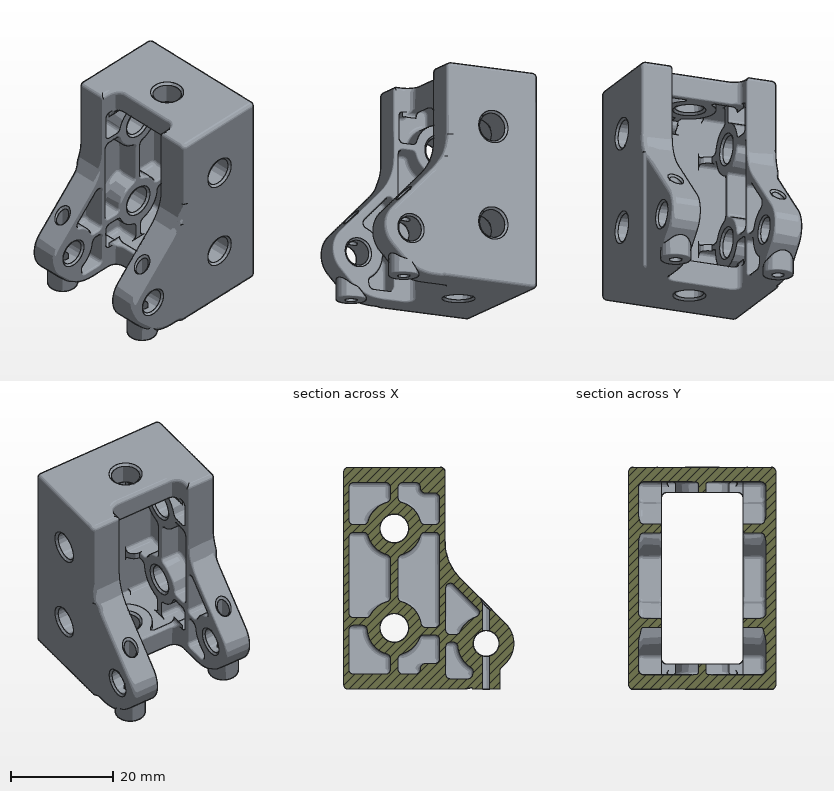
import cadquery as cq
import math

width = 29.0
height = 43.6
depth = 19.95
edge_round = 1.0
inner_round = edge_round / 2
mouth_round = 0.45
half_width = width / 2
back_y = depth / 2
front_y = -depth / 2

arm_outer_x = 14.0
arm_inner_x = 8.0
arm_mid_x = (arm_outer_x + arm_inner_x) / 2
pin_y = -18.0
pin_z = 9.03
arm_tip_radius = 5.5
bend_radius = 10.0
pin_hole_diameter = 5.0
pin_hole_rim = 5.85

post_diameter = 5.97
screw_diameter = 2.4
screw_rim = 3.15

slot_back_y = -6.2
slot_corner = 2.0
window_bottom_z = 5.0
window_corner = 1.0
side_wall = 2.0
end_wall = 2.9
back_wall = 1.0
lip = 1.0
cavity_back_y = back_y - back_wall
cavity_x = half_width - side_wall
window_top_z = height - window_bottom_z

mount_diameter = 5.6
mount_rim = 6.5
mount_heights = (12.08, 31.55)
boss_radius = 5.25
back_rib_heights = (13.35, 31.55)
front_rib_heights = (11.42, 31.55)
rib_width = 1.3

arm_rib_z = 10.03
arm_rim = 1.75
arm_floor = 2.0
arm_pocket_end_y = -15.25

overlap = 0.45
tolerance = 0.02
diagonal = math.sqrt(0.5)
bend_tangent = bend_radius * math.tan(math.pi / 8)


def box(x0, x1, y0, y1, z0, z1):
    return cq.Workplane("XY").box(x1 - x0, y1 - y0, z1 - z0, centered=False).translate((x0, y0, z0))


def mirrored(part):
    """Both the +X part and its copy on the -X side."""
    return part.union(part.mirror("YZ"))


def cylinder_x(y, z, radius, x0, x1):
    return cq.Workplane("YZ", origin=(x0, 0, 0)).center(y, z).circle(radius).extrude(x1 - x0)


def cylinder_z(x, y, radius, z0, z1):
    return cq.Workplane("XY", origin=(0, 0, z0)).center(x, y).circle(radius).extrude(z1 - z0)


tip_offset = arm_tip_radius * diagonal
upper_corner_z = pin_z + tip_offset + (front_y - pin_y + tip_offset)
lower_corner_y = pin_y - tip_offset + (pin_z - tip_offset)
bend_offset = bend_tangent * diagonal
mid_angle = math.pi / 8
upper_bend_start = (front_y, upper_corner_z + bend_tangent)
upper_bend_mid = (
    front_y - bend_radius * (1 - math.cos(mid_angle)),
    upper_bend_start[1] - bend_radius * math.sin(mid_angle),
)
upper_bend_end = (front_y - bend_offset, upper_corner_z - bend_offset)
lower_bend_end = (lower_corner_y + bend_tangent, 0)
lower_bend_mid = (
    lower_bend_end[0] - bend_radius * math.sin(mid_angle),
    bend_radius * (1 - math.cos(mid_angle)),
)
lower_bend_start = (lower_corner_y - bend_offset, bend_offset)


def side_solid():
    return (
        cq.Workplane("YZ", origin=(-half_width, 0, 0))
        .moveTo(back_y, 0)
        .lineTo(back_y, height)
        .lineTo(front_y, height)
        .lineTo(*upper_bend_start)
        .threePointArc(upper_bend_mid, upper_bend_end)
        .lineTo(pin_y - tip_offset, pin_z + tip_offset)
        .threePointArc((pin_y - arm_tip_radius, pin_z), (pin_y - tip_offset, pin_z - tip_offset))
        .lineTo(*lower_bend_start)
        .threePointArc(lower_bend_mid, lower_bend_end)
        .close()
        .extrude(width)
    )


def plan_solid():
    """Plan outline: an S bend of two arcs narrows the block sides to the arms."""
    drop = (half_width - arm_outer_x) / 2
    reach = math.sqrt(edge_round**2 - (edge_round - drop) ** 2)
    half_sweep = math.acos(1 - drop / edge_round) / 2
    mid_y = edge_round * math.sin(half_sweep)
    mid_x = edge_round * (1 - math.cos(half_sweep))
    bend_y = front_y - reach
    right = (
        cq.Workplane("XY")
        .moveTo(0, back_y)
        .lineTo(half_width, back_y)
        .lineTo(half_width, bend_y + reach)
        .threePointArc((half_width - mid_x, bend_y + reach - mid_y), (half_width - drop, bend_y))
        .threePointArc((arm_outer_x + mid_x, bend_y - reach + mid_y), (arm_outer_x, bend_y - reach))
        .lineTo(arm_outer_x, pin_y - 2 * arm_tip_radius)
        .lineTo(0, pin_y - 2 * arm_tip_radius)
        .close()
        .extrude(height)
    )
    return mirrored(right)


def is_inner_arm_edge(edge):
    """Edges where the slot sides meet the arm outline, below the rounded top."""
    box = edge.BoundingBox()
    in_slot_side = box.xlen < tolerance and abs(abs(box.xmin) - arm_inner_x) < tolerance
    on_outline = box.ymax < front_y + tolerance or box.zmax < tolerance
    return in_slot_side and on_outline


def is_outer_edge(edge):
    """Outer block and arm edges, without the seams between tangent faces."""
    box = edge.BoundingBox()
    if max(-box.xmin, box.xmax) < arm_inner_x + inner_round + tolerance:
        return box.xlen > tolerance and box.zmin > height - tolerance and box.ymax < front_y + tolerance
    if box.xlen > half_width - arm_inner_x - 2 * edge_round:
        return box.zmin > height - tolerance or box.ymin > back_y - tolerance
    bend_seam = max(box.xlen, box.ylen) < tolerance and box.ymax < 0 and box.zmin < tolerance
    return not bend_seam


def rounded_body():
    body = side_solid().intersect(plan_solid()).cut(arm_slot())
    body = body.edges().filter(is_outer_edge).fillet(edge_round)
    body = body.edges().filter(is_inner_arm_edge).fillet(inner_round)
    return body.cut(slot_mouth())


def slot_mouth():
    """The slot where it opens in the top, flared by a convex round along its rim."""
    size = (-half_width, half_width, front_y - edge_round, back_y, height / 2, height)
    plate = box(*size).cut(arm_slot())
    rim = cq.selectors.BoxSelector(
        (-arm_inner_x - tolerance, front_y - depth, height - tolerance),
        (arm_inner_x + tolerance, slot_back_y + tolerance, height + tolerance),
        boundingbox=True,
    )
    plate = plate.edges(rim).fillet(edge_round)
    return box(*size).cut(plate)


def post():
    shape = cylinder_z(arm_mid_x, pin_y, post_diameter / 2, 0, pin_z)
    return shape.faces("<Z").edges().fillet(inner_round / 2)


def arm_slot():
    slot = box(-arm_inner_x, arm_inner_x, front_y - depth, slot_back_y, -overlap, height + overlap)
    return slot.edges("|Z and >Y").fillet(slot_corner)


def window():
    """Open middle of the cavity, between the slot and the back wall."""
    core = box(-arm_inner_x, arm_inner_x, front_y, cavity_back_y, window_bottom_z, window_top_z)
    return core.edges("|Y").fillet(window_corner)


def side_pockets():
    """Hollow of the +X wall around its two bosses and its crossing ribs."""
    x0, x1 = arm_inner_x, cavity_x
    half_rib = rib_width / 2
    hollow = box(x0, x1, front_y + lip, cavity_back_y, window_bottom_z, window_top_z)
    hollow = hollow.union(box(x0, x1, slot_back_y + lip, cavity_back_y, end_wall, height - end_wall))
    hollow = hollow.cut(box(x0, x1, -half_rib, half_rib, 0, height))
    for z in mount_heights:
        hollow = hollow.cut(cylinder_x(0, z, boss_radius, x0, x1))
    for z in back_rib_heights:
        hollow = hollow.cut(box(x0, x1, 0, back_y, z - half_rib, z + half_rib))
    for z in front_rib_heights:
        hollow = hollow.cut(box(x0, x1, front_y, 0, z - half_rib, z + half_rib))
    return hollow.edges("|X").fillet(edge_round).faces(">X").edges().fillet(edge_round)


def top_pockets():
    """Hollow of the top wall around its boss and rib, linked to the side walls at the corners."""
    z0, z1 = window_top_z, height - end_wall
    x_end = arm_inner_x - lip
    half_rib = rib_width / 2
    hollow = box(-x_end, x_end, slot_back_y + lip, cavity_back_y, z0, z1)
    hollow = hollow.cut(box(-half_rib, half_rib, front_y, back_y, z0, z1))
    hollow = hollow.cut(cylinder_z(0, 0, boss_radius, z0, z1))
    hollow = hollow.edges("|Z").fillet(inner_round).faces(">Z").edges().fillet(inner_round)
    link = box(
        x_end - inner_round, arm_inner_x, slot_back_y + lip, cavity_back_y, z0 - window_corner, z1
    )
    link = link.edges("|X and >Z").fillet(edge_round)
    return hollow.union(mirrored(link))


def arm_pockets():
    """Hollow of the +X arm around its pin boss and its rib."""
    x0, x1 = arm_inner_x, cavity_x
    half_rib = rib_width / 2
    slope_z = upper_corner_z - arm_rim / diagonal
    outline = (
        cq.Workplane("YZ", origin=(x0, 0, 0))
        .moveTo(front_y, arm_floor)
        .lineTo(front_y, slope_z)
        .lineTo(pin_y, slope_z + pin_y - front_y)
        .lineTo(arm_pocket_end_y, arm_floor)
        .close()
        .extrude(x1 - x0)
    )
    hollow = outline.cut(cylinder_x(pin_y, pin_z, arm_tip_radius, x0, x1))
    hollow = hollow.cut(box(x0, x1, pin_y, front_y, arm_rib_z - half_rib, arm_rib_z + half_rib))
    return hollow.edges("|X").fillet(edge_round).faces(">X").edges().fillet(edge_round)


def rib_flare(reach):
    """Foot of a rib on the back wall: concave on three sides, along +X from the rib's end at x = 0."""
    half_foot = rib_width / 2 + edge_round
    along = (
        cq.Workplane("XY", origin=(0, 0, -half_foot))
        .moveTo(0, cavity_back_y - reach)
        .radiusArc((reach, cavity_back_y), -reach)
        .lineTo(reach, back_y - back_wall / 2)
        .lineTo(0, back_y - back_wall / 2)
        .close()
        .extrude(2 * half_foot)
    )
    across = (
        cq.Workplane("YZ")
        .moveTo(cavity_back_y, -half_foot)
        .radiusArc((cavity_back_y - edge_round, -rib_width / 2), -edge_round)
        .lineTo(cavity_back_y - reach, -rib_width / 2)
        .lineTo(cavity_back_y - reach, rib_width / 2)
        .lineTo(cavity_back_y - edge_round, rib_width / 2)
        .radiusArc((cavity_back_y, half_foot), -edge_round)
        .lineTo(back_y - back_wall / 2, half_foot)
        .lineTo(back_y - back_wall / 2, -half_foot)
        .close()
        .extrude(reach)
    )
    return along.intersect(across)


def rimmed_bore(diameter, rim_diameter, length):
    """Bore along +Z from z = 0 with a 45 degree chamfer at both ends."""
    chamfer = (rim_diameter - diameter) / 2
    profile = (
        cq.Workplane("XZ")
        .lineTo(rim_diameter / 2, 0)
        .lineTo(diameter / 2, chamfer)
        .lineTo(diameter / 2, length - chamfer)
        .lineTo(rim_diameter / 2, length)
        .lineTo(0, length)
        .close()
    )
    return profile.revolve(360, (0, 0, 0), (0, 1, 0))


def bore_x(y, z, diameter, rim_diameter, outer_x):
    bore = rimmed_bore(diameter, rim_diameter, outer_x - arm_inner_x)
    return bore.rotate((0, 0, 0), (0, 1, 0), 90).translate((arm_inner_x, y, z))


def is_window_lip(edge):
    """Straight edges where the window meets the back of the slot."""
    box = edge.BoundingBox()
    on_slot_back = abs(box.ymax - slot_back_y) < tolerance and box.ylen < tolerance
    below_top = box.zmin > edge_round and box.zmax < height - edge_round
    return on_slot_back and below_top and box.xlen > box.zlen + tolerance


def pocket_mouth_in(y0, y1, z0, z1):
    """Test for edges in the slot sides that lie wholly inside the given y and z limits."""

    def is_mouth_edge(edge):
        box = edge.BoundingBox()
        in_slot_side = box.xlen < tolerance and abs(abs(box.xmin) - arm_inner_x) < tolerance
        return in_slot_side and box.ymin > y0 and box.ymax < y1 and box.zmin > z0 and box.zmax < z1

    return is_mouth_edge


def is_screw_mouth(edge):
    """Rim of a screw hole on the sloping arm edge."""
    box = edge.BoundingBox()
    centred = abs(abs(box.center.x) - arm_mid_x) < tolerance
    right_size = abs(box.xlen - screw_diameter) < 2 * tolerance and box.zlen > screw_diameter / 2
    return centred and right_size and box.zmin > pin_z + pin_hole_rim / 2


body = rounded_body().union(mirrored(post()))

body = body.cut(window()).cut(mirrored(side_pockets().union(arm_pockets())))
upper_pockets = top_pockets()
lower_pockets = upper_pockets.mirror("XY").translate((0, 0, height))
body = body.cut(upper_pockets).cut(lower_pockets)

flare = rib_flare(slot_corner)
for z in back_rib_heights:
    side_flare = flare.rotate((0, 0, 0), (0, 1, 0), 180).translate((arm_inner_x, 0, z))
    body = body.union(mirrored(side_flare))
body = body.union(flare.rotate((0, 0, 0), (0, 1, 0), -90).translate((0, 0, window_bottom_z)))
body = body.union(flare.rotate((0, 0, 0), (0, 1, 0), 90).translate((0, 0, window_top_z)))

for z in mount_heights:
    body = body.cut(mirrored(bore_x(0, z, mount_diameter, mount_rim, half_width)))
body = body.cut(mirrored(bore_x(pin_y, pin_z, pin_hole_diameter, pin_hole_rim, arm_outer_x)))
end_bore = rimmed_bore(mount_diameter, mount_rim, window_bottom_z)
body = body.cut(end_bore).cut(end_bore.translate((0, 0, window_top_z)))
body = body.cut(mirrored(cylinder_z(arm_mid_x, pin_y, screw_diameter / 2, -overlap, height)))

body = body.edges().filter(is_window_lip).fillet(inner_round)
rounded_pockets = (
    pocket_mouth_in(pin_y, front_y + tolerance, arm_floor - tolerance, upper_corner_z),
    pocket_mouth_in(front_y, 0, front_rib_heights[0], front_rib_heights[1]),
    pocket_mouth_in(0, cavity_back_y - tolerance, back_rib_heights[0], back_rib_heights[1]),
)
for is_mouth_edge in rounded_pockets:
    body = body.edges().filter(is_mouth_edge).fillet(mouth_round)
body = body.edges().filter(is_screw_mouth).chamfer((screw_rim - screw_diameter) / 2)

result = body